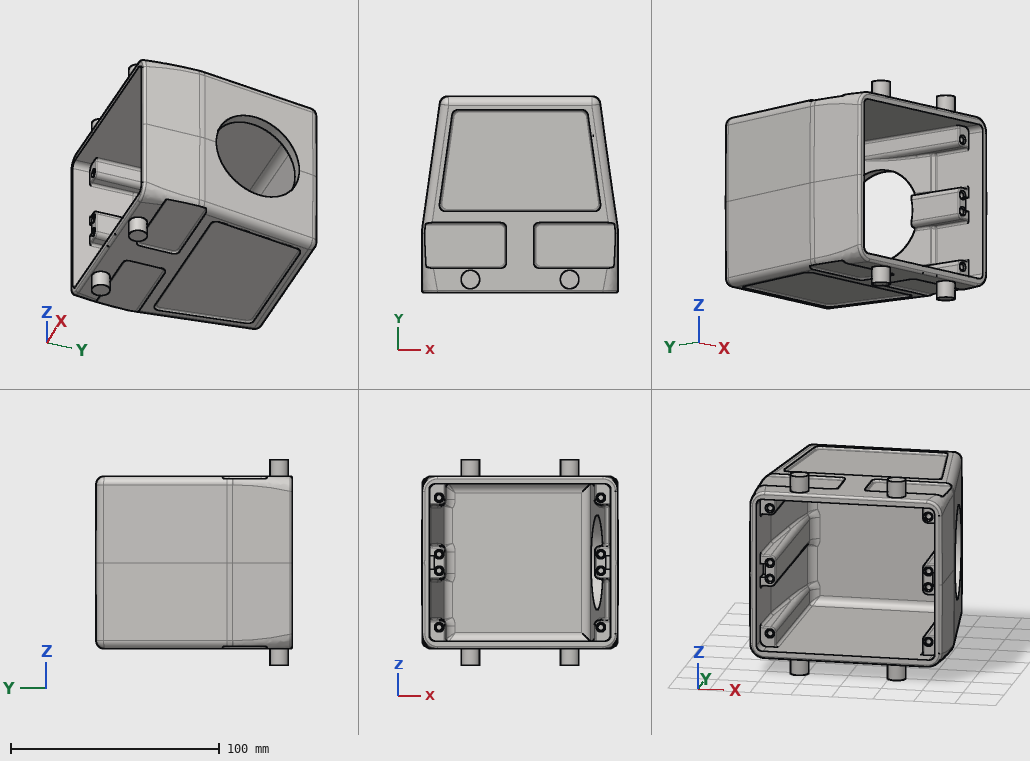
import cadquery as cq
import math


tiny = 0.1

depth = 94.2
half_width = 47.0
half_height = 41.4
knee_y = 30.1
knee_radius = 19.7
side_lean = math.tan(math.radians(8))
mould_draft = 0.25
edge_radius = 4.1
rim_corner_radius = 7.5
swell_y = 28.6
rim_round = 1.3

wall = 3.4
cavity_half_height = 37.6
cavity_depth = depth - wall
rim_opening = 43.5
knee_opening = 42.65
cavity_knee_y = 30.5
plain_floor_x = 36.15
entry_floor_x = 33.1
thickening = 2.0
step_run = 1.6
step_round = 0.9
floor_radius = 4.2
cavity_corner_radius = 3.0

entry_diameter = 45.4
entry_y = 60.6

boss_start_y = 8.7
boss_face_x = 36.0
boss_draft = 0.45
boss_round = 2.5
corner_boss_edge_z = 27.8
centre_boss_half_height = 7.7
boss_front_round = 0.6
boss_root_round = 1.3
screw_x = 38.7
corner_screw_z = 31.0
centre_screw_z = 3.9
screw_diameter = 3.0
screw_mouth_diameter = 4.3
screw_depth = 11.8
notch_half_height = 3.3
notch_inner_x = 41.0
notch_depth = 5.9

pin_diameter = 8.9
pin_x = 23.7
pin_y = 6.4
pin_tip_z = 49.25

panel_depth = 1.2
panel_wall_draft = 30
panel_floor_round = 0.5
label_front_y = 39.0
label_back_y = 87.7
label_margin = 6.7
label_corner = 3.7
grip_front_y = 11.8
grip_back_y = 33.7
grip_inner_x = 6.5
grip_corner = 3.3


def side_x(y):
    """Outer half width behind the knee."""
    return half_width - (y - knee_y) * side_lean


def mirrored(shape, plane):
    return shape.union(shape.mirror(plane))


def front_section(y):
    """Upper half of the outline across Y, its corners growing towards the rim."""
    swell = (1 - y / swell_y) ** 2
    radius = edge_radius + (rim_corner_radius - edge_radius) * swell
    top_x = half_width - half_height * math.tan(math.radians(mould_draft))
    corners = [
        cq.Vector(half_width, y, 0),
        cq.Vector(top_x, y, half_height),
        cq.Vector(-top_x, y, half_height),
        cq.Vector(-half_width, y, 0),
    ]
    outline = cq.Wire.makePolygon(corners, close=True)
    upper = [vertex for vertex in outline.Vertices() if vertex.Z > 0]
    return outline.fillet2D(radius, upper)


def front_half():
    sections = [front_section(y) for y in (0, swell_y / 2, swell_y)]
    shell = cq.Workplane(cq.Solid.makeLoft(sections))
    rim_edges = shell.faces("<Y").edges().filter(lambda edge: edge.Center().z > tiny)
    return rim_edges.fillet(rim_round)


def rear_half():
    back_x = side_x(depth)
    block = (
        cq.Workplane("XY")
        .polyline([
            (half_width, 0), (half_width, knee_y), (back_x, depth),
            (-back_x, depth), (-half_width, knee_y), (-half_width, 0),
        ])
        .close()
        .extrude(half_height, taper=mould_draft)
    )
    upright = block.edges("not #Z")
    block = upright.filter(lambda edge: abs(edge.Center().y - knee_y) < 1).fillet(knee_radius)
    front_space = cq.Workplane("XY").box(3 * depth, 2 * swell_y, 3 * depth)
    block = block.cut(front_space)
    outer_edges = block.edges().filter(
        lambda edge: edge.Center().y > swell_y + 0.5 and edge.Center().z > 1)
    outer_edges = outer_edges.filter(
        lambda edge: edge.Center().z > half_height - tiny or edge.Center().y > depth - 1)
    return outer_edges.fillet(edge_radius)


def boss(edge_low, edge_high, rounded):
    """Block on the +X wall between two heights, thickening towards its root."""
    profile = (
        cq.Sketch()
        .push([((boss_face_x + half_width) / 2, (edge_low + edge_high) / 2)])
        .rect(half_width - boss_face_x, edge_high - edge_low)
        .reset()
        .vertices(rounded)
        .fillet(boss_round)
    )
    plane = cq.Workplane("XZ", origin=(0, boss_start_y, 0))
    return plane.placeSketch(profile).extrude(-depth, taper=-boss_draft)


def all_bosses():
    """Corner and centre bosses of both side walls, the centre ones notched."""
    top = boss(corner_boss_edge_z, half_height, "<X and <Y")
    centre = boss(-centre_boss_half_height, centre_boss_half_height, "<X")
    notch = cq.Workplane("XY").box(
        half_width, 2 * notch_depth, 2 * notch_half_height, centered=(False, True, True))
    centre = centre.cut(notch.translate((notch_inner_x, boss_start_y, 0)))
    return mirrored(mirrored(top, "XY").union(centre), "YZ")


def is_boss_root(edge):
    """True for the long edges where a boss meets a side wall or a broad wall."""
    middle = edge.Center()
    start, end = edge.startPoint(), edge.endPoint()
    if middle.y < boss_start_y + tiny or edge.Length() < notch_depth + 1:
        return False
    if abs(end.y - start.y) < 1:
        return False
    on_side_wall = (
        abs(middle.x) > screw_x + tiny
        and abs(end.x - start.x) > tiny
        and abs(middle.z) < corner_boss_edge_z + 0.3)
    on_broad_wall = (
        abs(abs(middle.x) - boss_face_x) < 1
        and abs(middle.z) > cavity_half_height - tiny)
    return on_side_wall or on_broad_wall


def is_boss_front_edge(edge):
    """True for the free edges of the boss faces that point at the rim."""
    middle = edge.Center()
    at_front = all(
        abs(point.y - boss_start_y) < tiny for point in (edge.startPoint(), edge.endPoint()))
    return (
        at_front
        and abs(middle.x) < notch_inner_x - 0.5
        and abs(middle.z) < cavity_half_height - boss_root_round)


def round_bosses(space):
    space = space.edges().filter(is_boss_root).fillet(boss_root_round)
    return space.edges().filter(is_boss_front_edge).fillet(boss_front_round)


def cavity():
    """Hollow of the hood, with the bosses left standing in it."""
    thick_x = knee_opening - thickening
    space = (
        cq.Workplane("XY", origin=(0, 0, -cavity_half_height))
        .polyline([
            (-rim_opening, 0), (rim_opening, 0),
            (knee_opening, cavity_knee_y - step_run), (thick_x, cavity_knee_y),
            (entry_floor_x, cavity_depth),
            (-plain_floor_x, cavity_depth), (-knee_opening, cavity_knee_y),
        ])
        .close()
        .extrude(2 * cavity_half_height)
    )
    upright = space.edges("|Z").filter(
        lambda edge: abs(edge.Center().y - cavity_knee_y) < step_run + tiny)
    space = upright.filter(lambda edge: edge.Center().x > 0).fillet(step_round)
    space = space.cut(all_bosses())
    space = space.faces(">Y").edges().fillet(floor_radius)
    rim_corners = space.edges("#Z").filter(
        lambda edge: edge.Center().y < boss_start_y
        and abs(edge.Center().x) > screw_x
        and abs(edge.Center().z) > cavity_half_height - tiny)
    space = rim_corners.fillet(cavity_corner_radius)
    return round_bosses(space)


def screw_holes():
    """Blind holes with countersunk mouths in the boss faces."""
    countersink = (screw_mouth_diameter - screw_diameter) / 2
    plane = cq.Workplane("XZ", origin=(0, boss_start_y, 0))
    points = [
        (x, z)
        for x in (-screw_x, screw_x)
        for z in (-corner_screw_z, -centre_screw_z, centre_screw_z, corner_screw_z)
    ]
    drills = plane.pushPoints(points).circle(screw_diameter / 2).extrude(-screw_depth)
    mouths = (
        plane.pushPoints(points)
        .circle(screw_mouth_diameter / 2)
        .extrude(-countersink, taper=45)
    )
    return drills.union(mouths)


def recess(outline, corner):
    """Panel pocket sunk into the +Z face from an outline of corner points."""
    pocket = cq.Workplane("XY", origin=(0, 0, half_height)).polyline(outline).close()
    pocket = pocket.extrude(-panel_depth, taper=panel_wall_draft)
    pocket = pocket.edges("not #Z").fillet(corner)
    return pocket.faces("<Z").edges().fillet(panel_floor_round)


def panels():
    """One label panel and two grip panels on each broad face."""
    front_x = side_x(label_front_y) - label_margin
    back_x = side_x(label_back_y) - label_margin
    label = recess([
        (-front_x, label_front_y), (front_x, label_front_y),
        (back_x, label_back_y), (-back_x, label_back_y),
    ], label_corner)
    far_x = half_width + 2 * grip_corner
    grip = recess([
        (grip_inner_x, grip_front_y), (far_x, grip_front_y),
        (far_x, grip_back_y), (grip_inner_x, grip_back_y),
    ], grip_corner)
    return mirrored(label.union(mirrored(grip, "YZ")), "XY")


def cable_entry():
    return (
        cq.Workplane("YZ", origin=(0, entry_y, 0))
        .circle(entry_diameter / 2)
        .extrude(half_width)
        .translate((boss_face_x - wall - 4.9, 0, 0))
    )


def pins():
    pin_root_z = (cavity_half_height + half_height) / 2
    pin = (
        cq.Workplane("XY", origin=(0, pin_y, pin_root_z))
        .pushPoints([(-pin_x, 0), (pin_x, 0)])
        .circle(pin_diameter / 2)
        .extrude(pin_tip_z - pin_root_z)
    )
    return mirrored(pin, "XY")


result = (
    mirrored(front_half().union(rear_half()), "XY")
    .cut(panels())
    .cut(cavity())
    .cut(cable_entry())
    .cut(screw_holes())
    .union(pins())
)